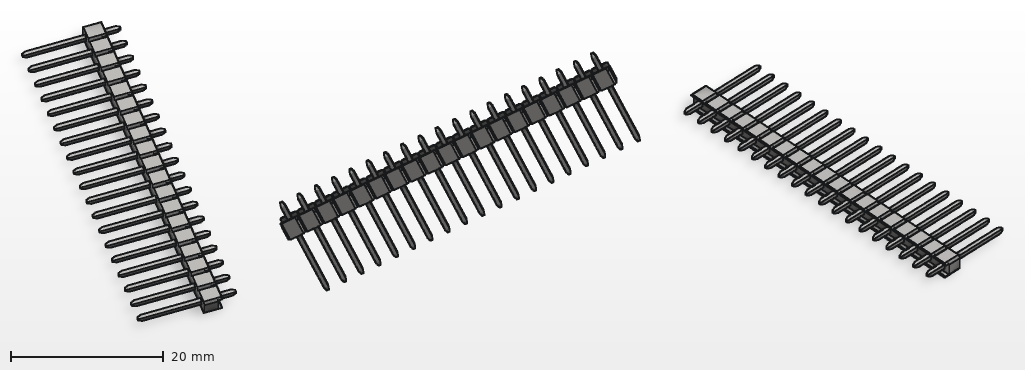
import cadquery as cq

pin_count = 19
header_length = 48.25
pitch = header_length / pin_count

body_depth = 2.5
body_height = 2.5
chamfer_width = 0.3
chamfer_rise = 0.45
channel_depth = 0.6
channel_height = 1.85

pin_width = 0.65
pin_shift = -0.1
pin_tip_width = 0.315
tail_length = 2.3
post_length = 8.8
taper_length = 0.55

body_back = body_depth / 2
body_front = -body_depth / 2
pin_back = body_back + tail_length
pin_front = body_front - post_length


def cell_center(index):
    """X position of the middle of one body cell."""
    return (index - (pin_count - 1) / 2) * pitch


def make_cell(x):
    """One body segment: an octagonal outline in XZ, extruded along Y."""
    side = pitch / 2
    top = body_height / 2
    flat_side = side - chamfer_width
    flat_top = top - chamfer_rise
    outline = [
        (side, -flat_top),
        (side, flat_top),
        (flat_side, top),
        (-flat_side, top),
        (-side, flat_top),
        (-side, -flat_top),
        (-flat_side, -top),
        (flat_side, -top),
    ]
    return (
        cq.Workplane("XZ", origin=(x, body_back, 0))
        .polyline(outline)
        .close()
        .extrude(body_depth)
    )


def make_taper(base_y, tip_y):
    """Pyramid-shaped pin end narrowing from base_y to tip_y."""
    return (
        cq.Workplane("XZ", origin=(0, base_y, 0))
        .rect(pin_width, pin_width)
        .workplane(offset=base_y - tip_y)
        .rect(pin_tip_width, pin_tip_width)
        .loft(ruled=True)
    )


def make_pin():
    """Square pin along Y, tapered at both ends."""
    shank_back = pin_back - taper_length
    shank_front = pin_front + taper_length
    shank = (
        cq.Workplane("XZ", origin=(0, shank_back, 0))
        .rect(pin_width, pin_width)
        .extrude(shank_back - shank_front)
    )
    tail_end = make_taper(shank_back, pin_back)
    post_end = make_taper(shank_front, pin_front)
    return shank.union(tail_end).union(post_end)


body = make_cell(cell_center(0))
for i in range(1, pin_count):
    body = body.union(make_cell(cell_center(i)))

channel = cq.Workplane("XY").box(header_length, channel_depth, channel_height)
body = body.cut(channel.translate((0, body_back - channel_depth / 2, 0)))

pin = make_pin()
result = body
for i in range(pin_count):
    result = result.union(pin.translate((cell_center(i) + pin_shift, 0, 0)))